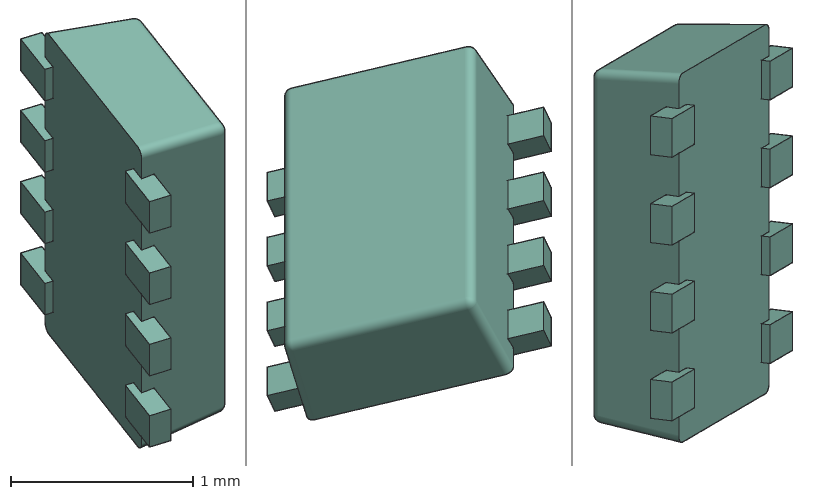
import cadquery as cq

LEAD_SPAN = 1.6
TOTAL_DEPTH = 0.6
HOUSING_LENGTH = 2.1

HOUSING_WIDTH = 1.2
STANDOFF = 0.05
HOUSING_DEPTH = TOTAL_DEPTH - STANDOFF
DRAFT_ANGLE = 5.0
EDGE_RADIUS = 0.05

LEADS_PER_ROW = 4
LEAD_PITCH = 0.5
LEAD_LENGTH = 0.3
LEAD_WIDTH = 0.22
LEAD_THICKNESS = 0.13


def make_lead(side, z_center):
    """Flat rectangular lead; side is -1 or +1 for the row on -X or +X, with its foot at Y = 0."""
    x_center = side * (LEAD_SPAN - LEAD_LENGTH) / 2
    return (
        cq.Workplane("XY")
        .box(LEAD_LENGTH, LEAD_THICKNESS, LEAD_WIDTH, centered=(True, False, True))
        .translate((x_center, 0, z_center))
    )


def make_leads():
    """Two mirrored rows of evenly pitched leads, centred on Z = 0."""
    first_z = -(LEADS_PER_ROW - 1) * LEAD_PITCH / 2
    return [
        make_lead(side, first_z + index * LEAD_PITCH)
        for side in (-1, 1)
        for index in range(LEADS_PER_ROW)
    ]


def make_housing(leads):
    """Drafted block, rounded everywhere except around its base, with a recess for each lead."""
    base_plane = cq.Plane(origin=(0, STANDOFF, 0), xDir=(1, 0, 0), normal=(0, 1, 0))
    block = (
        cq.Workplane(base_plane)
        .rect(HOUSING_WIDTH, HOUSING_LENGTH)
        .extrude(HOUSING_DEPTH, taper=DRAFT_ANGLE)
    )
    housing = block.edges("not(<Y)").fillet(EDGE_RADIUS)
    for lead in leads:
        housing = housing.cut(lead)
    return housing


leads = make_leads()
housing = make_housing(leads)

result = cq.Compound.makeCompound([housing.solids().val(), *[lead.val() for lead in leads]])